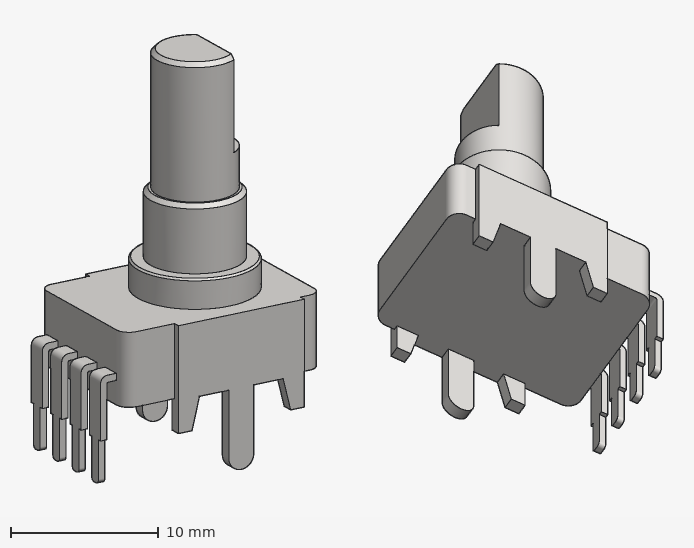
import cadquery as cq


SHAFT_DIAMETER = 6.0
SHAFT_LENGTH = 10.0
SHAFT_CHAMFER = 0.3
FLAT_OFFSET = 1.5
FLAT_LENGTH = 7.0

BUSHING_DIAMETER = 7.0
BUSHING_HEIGHT = 5.0
BUSHING_CHAMFER = 0.3
FLANGE_DIAMETER = 9.0
FLANGE_HEIGHT = 2.2
FLANGE_CHAMFER = 0.15

HOUSING_WIDTH = 11.0
HOUSING_BACK = 6.7
HOUSING_FRONT = 9.0
HOUSING_HEIGHT = 5.42
CORNER_RADIUS = 1.0
SHOULDER_WIDTH = 12.0
SHOULDER_LENGTH = 10.0

SHEET_THICKNESS = 0.85
LUG_WIDTH = 2.0
LUG_LENGTH = 5.9
LEG_LENGTH = 2.37
LEG_TOP_WIDTH = 1.68
LEG_TIP_WIDTH = 1.08

PIN_COUNT = 4
PIN_PITCH = 2.5
PIN_WIDTH = 1.42
PIN_TIP_WIDTH = 0.88
PIN_THICKNESS = 0.5
PIN_DROP = 3.14
PIN_REACH = 1.25
PIN_TIP_LENGTH = 3.2
PIN_OUTER_BEND_RADIUS = 0.55
PIN_INNER_BEND_RADIUS = 0.15
PIN_TIP_FILLET = 0.3

housing_bottom = -HOUSING_HEIGHT
bushing_top = FLANGE_HEIGHT + BUSHING_HEIGHT
shaft_top = bushing_top + SHAFT_LENGTH


def stepped_disc(diameter, base, height, chamfer):
    """Cylinder on the shaft axis with its upper rim chamfered."""
    disc = cq.Workplane("XY", origin=(0, 0, base)).circle(diameter / 2).extrude(height)
    return disc.faces(">Z").edges().chamfer(chamfer)


def make_block():
    """Housing block with rounded corners and a wider middle stretch."""
    length = HOUSING_BACK + HOUSING_FRONT
    center_y = (HOUSING_BACK - HOUSING_FRONT) / 2
    block = (
        cq.Workplane("XY", origin=(0, center_y, housing_bottom))
        .rect(HOUSING_WIDTH, length)
        .extrude(HOUSING_HEIGHT)
        .edges("|Z")
        .fillet(CORNER_RADIUS)
    )
    shoulder = (
        cq.Workplane("XY", origin=(0, 0, housing_bottom))
        .rect(SHOULDER_WIDTH, SHOULDER_LENGTH)
        .extrude(HOUSING_HEIGHT)
    )
    return block.union(shoulder)


def make_shaft():
    """Round shaft with a chamfered end and a flat facing +Y."""
    shaft = stepped_disc(SHAFT_DIAMETER, bushing_top, SHAFT_LENGTH, SHAFT_CHAMFER)
    flat_cutter = cq.Workplane("XY").box(
        SHAFT_DIAMETER, SHAFT_DIAMETER, FLAT_LENGTH, centered=(True, False, False)
    )
    return shaft.cut(flat_cutter.translate((0, FLAT_OFFSET, shaft_top - FLAT_LENGTH)))


def make_side_feet():
    """Round-ended lug and two tapered legs under the -X side of the housing."""
    lug_radius = LUG_WIDTH / 2
    arc_start = housing_bottom - LUG_LENGTH + lug_radius
    side_plane = cq.Workplane("YZ", origin=(-SHOULDER_WIDTH / 2, 0, 0))
    feet = (
        side_plane.moveTo(-lug_radius, housing_bottom)
        .lineTo(-lug_radius, arc_start)
        .threePointArc((0, arc_start - lug_radius), (lug_radius, arc_start))
        .lineTo(lug_radius, housing_bottom)
        .close()
        .extrude(SHEET_THICKNESS)
    )
    outer_y = SHOULDER_LENGTH / 2
    leg = (
        side_plane.moveTo(outer_y, housing_bottom)
        .lineTo(outer_y, housing_bottom - LEG_LENGTH)
        .lineTo(outer_y - LEG_TIP_WIDTH, housing_bottom - LEG_LENGTH)
        .lineTo(outer_y - LEG_TOP_WIDTH, housing_bottom)
        .close()
        .extrude(SHEET_THICKNESS)
    )
    return feet.add(leg).add(leg.mirror("XZ"))


def make_housing():
    """Housing block with flange, bushing, shaft, lugs and legs as one solid."""
    housing = make_block()
    housing = housing.union(stepped_disc(FLANGE_DIAMETER, 0, FLANGE_HEIGHT, FLANGE_CHAMFER))
    housing = housing.union(stepped_disc(BUSHING_DIAMETER, FLANGE_HEIGHT, BUSHING_HEIGHT, BUSHING_CHAMFER))
    housing = housing.union(make_shaft())
    side_feet = make_side_feet()
    for feet in (side_feet, side_feet.mirror("YZ")):
        for foot in feet.vals():
            housing = housing.union(cq.Workplane(foot))
    return housing


def make_pin(x):
    """Terminal pin: out of the -Y face, bent down, then narrowed to a rounded tip."""
    root_y = -HOUSING_FRONT
    outer_y = root_y - PIN_REACH
    inner_y = outer_y + PIN_THICKNESS
    top = -PIN_DROP
    shank_bottom = housing_bottom - LEG_LENGTH
    shank = (
        cq.Workplane("YZ", origin=(x, 0, 0))
        .moveTo(root_y, top)
        .lineTo(outer_y, top)
        .lineTo(outer_y, shank_bottom)
        .lineTo(inner_y, shank_bottom)
        .lineTo(inner_y, top - PIN_THICKNESS)
        .lineTo(root_y, top - PIN_THICKNESS)
        .close()
        .extrude(PIN_WIDTH / 2, both=True)
    )
    shank = shank.edges("|X and >Z and <Y").fillet(PIN_OUTER_BEND_RADIUS)
    inner_corner = cq.selectors.NearestToPointSelector((x, inner_y, top - PIN_THICKNESS))
    shank = shank.edges("|X").edges(inner_corner).fillet(PIN_INNER_BEND_RADIUS)
    tip = (
        cq.Workplane("XY", origin=(x, (outer_y + inner_y) / 2, shank_bottom))
        .rect(PIN_TIP_WIDTH, PIN_THICKNESS)
        .extrude(-PIN_TIP_LENGTH)
        .edges("|Y and <Z")
        .fillet(PIN_TIP_FILLET)
    )
    return shank.union(tip)


housing = make_housing()
first_pin_x = -(PIN_COUNT - 1) * PIN_PITCH / 2
pins = [make_pin(first_pin_x + index * PIN_PITCH) for index in range(PIN_COUNT)]

result = cq.Compound.makeCompound([housing.val(), *[pin.val() for pin in pins]])